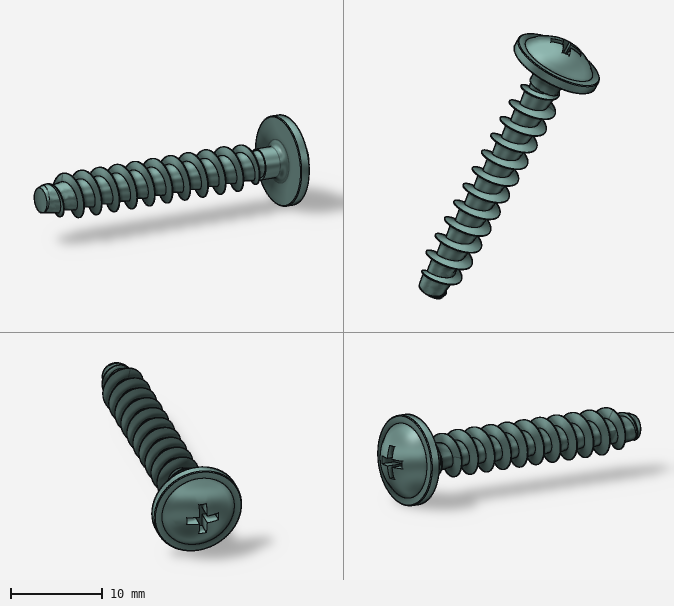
import cadquery as cq
import math


flange_radius = 5.0
flange_thickness = 1.13
flange_edge = 0.1
dome_radius = 4.15
dome_height = 2.02

recess_width = 0.85
recess_length = 3.65
recess_depth = 2.0

neck_radius = 1.72
neck_length = 2.5
neck_fillet = 0.7
core_radius = 1.35
shank_length = 30.0
tip_radius = 1.4
tip_slope = 0.4
limit_clearance = 0.33

ten_turns_length = 22.38
pitch = ten_turns_length / 10
crest_radius = 2.55
crest_width = 0.1
foot_radius = 1.62
foot_width = 0.65
buried_radius = 1.0
run_in_radius = 1.75
run_out_radius = 1.1

ramp_high_radius = 1.7
ramp_low_radius = 1.4
ramp_length = 2.15

first_crest = 3.65
run_in_start = -0.75
full_start = 0.5
full_end = 10.3
run_out_end = 12.0
ramp_start = -1.25
ramp_end = 12.25


def make_body():
    """Turned body: domed head, flange, filleted neck and plain core."""
    flange_top = -flange_thickness
    dome_top = flange_top - dome_height
    sphere_radius = (dome_radius**2 + dome_height**2) / (2 * dome_height)
    half_angle = math.asin(dome_radius / sphere_radius) / 2
    arc_middle = (
        sphere_radius * math.sin(half_angle),
        dome_top + sphere_radius * (1 - math.cos(half_angle)),
    )
    fillet_reach = neck_fillet * (1 - math.sqrt(0.5))
    return (
        cq.Workplane("XZ")
        .moveTo(0, dome_top)
        .threePointArc(arc_middle, (dome_radius, flange_top))
        .lineTo(flange_radius - flange_edge, flange_top)
        .lineTo(flange_radius, flange_top + flange_edge)
        .lineTo(flange_radius, -flange_edge)
        .lineTo(flange_radius - flange_edge, 0)
        .lineTo(neck_radius + neck_fillet, 0)
        .threePointArc(
            (neck_radius + fillet_reach, fillet_reach),
            (neck_radius, neck_fillet),
        )
        .lineTo(neck_radius, neck_length)
        .lineTo(core_radius, neck_length)
        .lineTo(core_radius, shank_length)
        .lineTo(0, shank_length)
        .close()
        .revolve(360, (0, 0, 0), (0, 1, 0))
    )


def make_recess():
    """Cross of two equal slots sunk into the dome."""
    dome_top = -flange_thickness - dome_height
    slots = (
        cq.Workplane("XY", origin=(0, 0, dome_top))
        .rect(recess_length, recess_width)
        .extrude(recess_depth)
    )
    return slots.union(slots.rotate((0, 0, 0), (0, 0, 1), 90))


def tooth_section(peak_radius):
    """Corners (radius, axial offset from the crest) of the tooth."""
    flank_slope = (foot_width - crest_width) / 2 / (crest_radius - foot_radius)
    buried_offset = foot_width / 2 + flank_slope * (foot_radius - buried_radius)
    return [
        (buried_radius, -buried_offset),
        (peak_radius, -crest_width / 2),
        (peak_radius, crest_width / 2),
        (buried_radius, buried_offset),
    ]


def helix_edge(start_radius, end_radius, start_z, turns):
    """Helix from +X whose radius changes evenly from start to end."""
    rise = turns * pitch
    center = cq.Vector(0, 0, start_z)
    if start_radius == end_radius:
        helix = cq.Wire.makeHelix(pitch, rise, start_radius, center)
    else:
        cone_angle = math.atan((end_radius - start_radius) / rise)
        slant = 1 / math.cos(cone_angle)
        helix = cq.Wire.makeHelix(
            pitch * slant,
            rise * slant,
            start_radius,
            center,
            angle=math.degrees(cone_angle),
        )
    return helix.Edges()[0]


def helical_ridge(start_turn, end_turn, start_section, end_section):
    """Solid that winds from one section to another around the axis."""
    start_z = first_crest + start_turn * pitch
    edges = []
    for (start_radius, offset), (end_radius, _) in zip(start_section, end_section):
        edges.append(helix_edge(start_radius, end_radius, start_z + offset, end_turn - start_turn))
    faces = []
    for index, edge in enumerate(edges):
        faces.append(cq.Face.makeRuledSurface(edges[index - 1], edge))
    for corners in ([e.startPoint() for e in edges], [e.endPoint() for e in edges]):
        faces.append(cq.Face.makeFromWires(cq.Wire.makePolygon(corners, close=True)))
    solid = cq.Solid.makeSolid(cq.Shell.makeShell(faces)).fix()
    return cq.Workplane(solid).rotate((0, 0, 0), (0, 0, 1), 360 * start_turn)


def make_tooth():
    """Tooth that rises out of the neck, runs at full height and fades at the tip."""
    low_start = tooth_section(run_in_radius)
    full = tooth_section(crest_radius)
    low_end = tooth_section(run_out_radius)
    run_in = helical_ridge(run_in_start, full_start, low_start, full)
    full_height = helical_ridge(full_start, full_end, full, full)
    run_out = helical_ridge(full_end, run_out_end, full, low_end)
    return run_in.union(full_height).union(run_out)


def make_ramp():
    """Tapered filling of the core between neighbouring turns of the tooth."""
    section = [
        (buried_radius, 0),
        (ramp_high_radius, 0),
        (ramp_low_radius, ramp_length),
        (buried_radius, ramp_length),
    ]
    return helical_ridge(ramp_start, ramp_end, section, section)


def make_thread_limit():
    """Space the thread may fill: beyond the neck and inside the tip cone."""
    outer_radius = crest_radius + limit_clearance
    cone_length = (outer_radius - tip_radius) / tip_slope
    return (
        cq.Workplane("XZ")
        .moveTo(0, neck_length)
        .lineTo(outer_radius, neck_length)
        .lineTo(outer_radius, shank_length - cone_length)
        .lineTo(tip_radius, shank_length)
        .lineTo(0, shank_length)
        .close()
        .revolve(360, (0, 0, 0), (0, 1, 0))
    )


thread = make_tooth().union(make_ramp()).intersect(make_thread_limit())
screw = make_body().cut(make_recess()).union(thread)

result = screw.rotate((0, 0, 0), (1, 0, 0), 90)